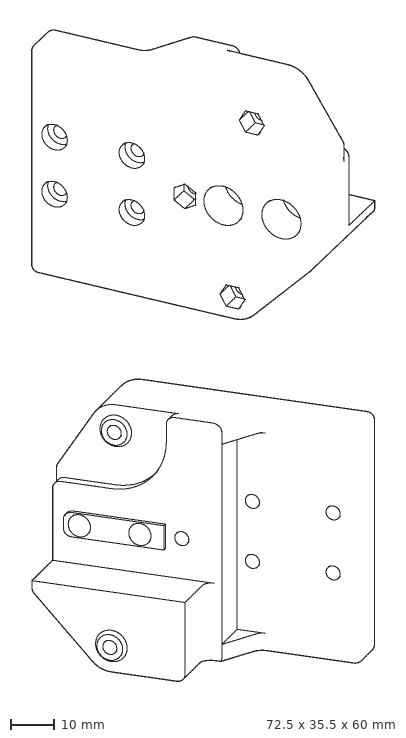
import cadquery as cq
import math

length = 72.5
height = 60.0
mid_height = height / 2

plate_back = 11.0
body_back = 21.0
block_back = 34.5
pocket_floor = 18.5
rail_rise = 1.0
boss_rise = 1.0

edge_radius = 2.0
pivot_corner_radius = 6.5

tolerance = 0.01

upper_bevel_x = 61.4
upper_bevel_z = 42.8
lower_bevel_x = 55.5
lower_bevel_z = 17.5

body_left = 30.5
ramp_angle = math.radians(60)
ramp_foot = body_left - (body_back - plate_back) / math.tan(ramp_angle)
rib_thickness = 5.0

block_left = 34.5
block_height = 20.0

upper_pivot = (57.8, height - pivot_corner_radius)
lower_pivot = (52.8, pivot_corner_radius)
boss_base_radius = 3.9
boss_top_radius = 3.2

pocket_radius = 13.5
pocket_bottom = upper_pivot[1] - pocket_radius
pocket_left = upper_pivot[0] - pocket_radius

rail_left = 44.5
rail_right = 69.45
rail_width = 6.1

through_depth = block_back + boss_rise
bolt_diameter = 3.5
nut_across_flats = 5.6
nut_depth = 5.1
middle_nut = (40.45, mid_height)
mount_xs = (6.75, 26.75)
mount_spacing_z = 15.0
mount_head_diameter = 6.6
mount_head_depth = 3.05
rod_xs = (50.45, 65.5)
rod_diameter = 5.5
rod_head_diameter = 10.15
rod_head_depth = 10.9


def box(x0, x1, y0, y1, z0, z1):
    """Box between two corners."""
    return cq.Workplane("XY").box(x1 - x0, y1 - y0, z1 - z0, centered=False).translate((x0, y0, z0))


def on_front(y=0.0):
    """Sketch plane parallel to the front face at depth y; extrude negative to go toward +Y."""
    return cq.Workplane("XZ", origin=(0, y, 0))


def outline_prism():
    """Front outline with rounded right-hand corners, through the full depth."""
    prism = (
        on_front()
        .polyline([
            (0, 0), (lower_bevel_x, 0), (length, lower_bevel_z),
            (length, upper_bevel_z), (upper_bevel_x, height), (0, height),
        ])
        .close()
        .extrude(-block_back)
    )
    pivot_corners = prism.edges("|Y").filter(lambda edge: body_left < edge.Center().x < length - tolerance)
    prism = pivot_corners.fillet(pivot_corner_radius)
    return prism.edges("|Y and >X").fillet(edge_radius)


def stepped_body():
    """Plate, ramped body and block before the outside edges are rounded."""
    plate_and_body = (
        cq.Workplane("XY")
        .polyline([
            (0, 0), (length, 0), (length, body_back), (body_left, body_back),
            (ramp_foot, plate_back), (0, plate_back),
        ])
        .close()
        .extrude(height)
    )
    foot = cq.selectors.NearestToPointSelector((ramp_foot, plate_back, mid_height))
    plate_and_body = plate_and_body.edges(foot).fillet(edge_radius)

    block = (
        cq.Workplane("XY")
        .moveTo(block_left - edge_radius, body_back)
        .radiusArc((block_left, body_back + edge_radius), -edge_radius)
        .lineTo(block_left, block_back)
        .lineTo(length, block_back)
        .lineTo(length, body_back)
        .close()
        .extrude(block_height)
    )
    return plate_and_body.union(block).intersect(outline_prism())


def is_rounded(edge):
    """Front rim, left side, and both ends of the stepped back up to the block's left side."""
    center = edge.Center()
    at_end = min(abs(center.z), abs(height - center.z)) < tolerance
    on_step = at_end and center.x < block_left + tolerance
    return center.y < tolerance or center.x < tolerance or on_step


def rounded_body():
    """Stepped body with its outside edges rounded."""
    return stepped_body().edges().filter(is_rounded).fillet(edge_radius)


def step_recess():
    """Space between the two ramp ribs."""
    return box(0, body_left, plate_back, block_back, rib_thickness, height - rib_thickness)


def swing_pocket():
    """Shallow pocket sweeping around the upper pivot, open at the top and right, with rounded lips."""
    r = edge_radius
    diagonal = pocket_radius * math.sqrt(0.5)
    sweep_middle = (upper_pivot[0] - diagonal, upper_pivot[1] - diagonal)
    return (
        on_front(pocket_floor)
        .moveTo(pocket_left - r, height)
        .radiusArc((pocket_left, height - r), r)
        .lineTo(pocket_left, upper_pivot[1])
        .threePointArc(sweep_middle, (upper_pivot[0], pocket_bottom))
        .lineTo(length - r, pocket_bottom)
        .radiusArc((length, pocket_bottom - r), r)
        .lineTo(length, height)
        .close()
        .extrude(pocket_floor - block_back)
    )


def rail():
    """Low bar behind the rod holes, rounded at its right end."""
    z0 = mid_height - rail_width / 2
    bar = box(rail_left, rail_right, body_back, body_back + rail_rise, z0, z0 + rail_width)
    return bar.edges("|Y and >X").fillet(edge_radius)


def pivot_boss(pivot, y):
    """Low cone around a pivot hole, rising from depth y."""
    cone = cq.Solid.makeCone(
        boss_base_radius, boss_top_radius, boss_rise,
        pnt=cq.Vector(pivot[0], y, pivot[1]), dir=cq.Vector(0, 1, 0),
    )
    return cq.Workplane(cone)


def bored(points, diameter, head_diameter, head_depth):
    """Through holes with a round head recess in the front face."""
    bores = on_front().pushPoints(points).circle(diameter / 2).extrude(-through_depth)
    heads = on_front().pushPoints(points).circle(head_diameter / 2).extrude(-head_depth)
    return bores.union(heads)


def nut_hole(point, turn=0):
    """Through hole with a hexagonal nut recess in the front face, turned about the hole by an angle."""
    bore = on_front().center(*point).circle(bolt_diameter / 2).extrude(-through_depth)
    across_corners = nut_across_flats / math.cos(math.radians(30))
    nut = on_front().polygon(6, across_corners).extrude(-nut_depth)
    nut = nut.rotate((0, 0, 0), (0, 1, 0), turn).translate((point[0], 0, point[1]))
    return bore.union(nut)


mount_zs = (mid_height - mount_spacing_z / 2, mid_height + mount_spacing_z / 2)
mount_points = [(x, z) for x in mount_xs for z in mount_zs]
rod_points = [(x, mid_height) for x in rod_xs]

result = (
    rounded_body()
    .cut(step_recess())
    .cut(swing_pocket())
    .union(rail())
    .union(pivot_boss(upper_pivot, pocket_floor))
    .union(pivot_boss(lower_pivot, block_back))
    .cut(bored(mount_points, bolt_diameter, mount_head_diameter, mount_head_depth))
    .cut(bored(rod_points, rod_diameter, rod_head_diameter, rod_head_depth))
    .cut(nut_hole(upper_pivot))
    .cut(nut_hole(lower_pivot))
    .cut(nut_hole(middle_nut, turn=30))
)